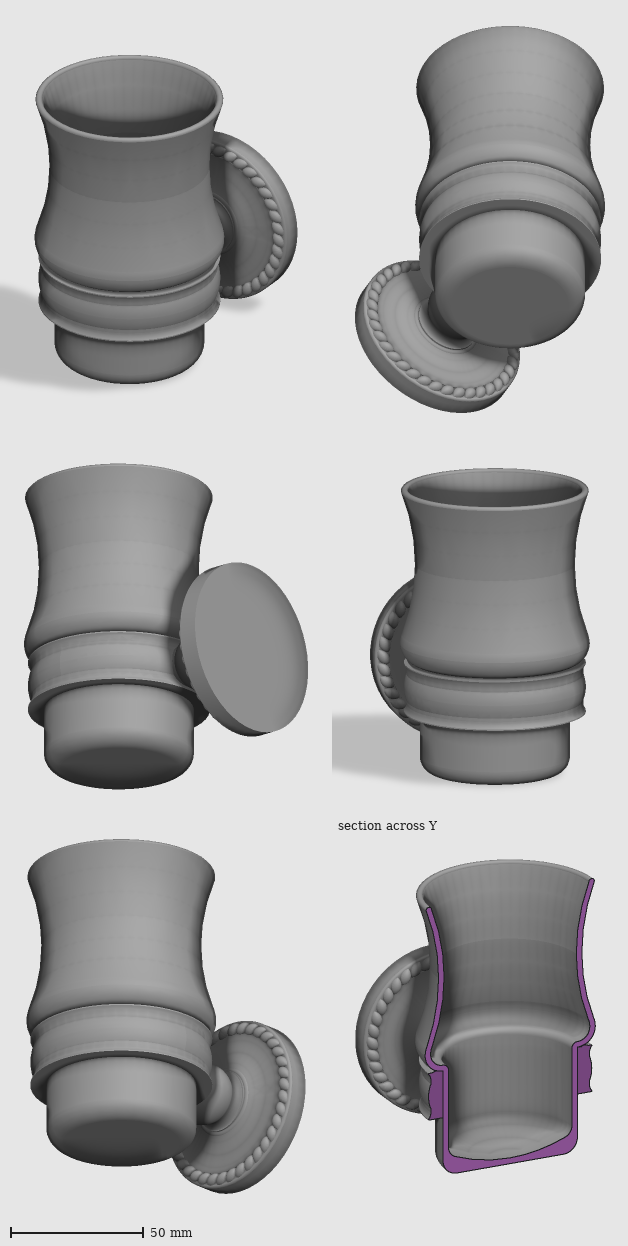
import cadquery as cq
import math


cup_height = 110.0
wall = 2.5
foot_radius = 28.4
foot_fillet = 6.0
bulge_radius = 71.8 / 2
bulge_z = 49.9
bulge_lower_round = bulge_radius - foot_radius
bulge_upper_round = 9.7
bulge_top_radius = 35.2
bulge_top_z = 53.4
waist_radius = 30.2
waist_z = 80.5
rim_radius = 35.5
rim_round = wall / 2
rim_z = cup_height - rim_round
floor_edge_radius = 23.2
floor_edge_slope = 22.0

holder_z = 33.0
ring_radius = 34.4
ring_half_height = 9.6
lip_thickness = 0.4
neck_radius = 33.4
belly_half_height = 5.1
upper_neck_height = 6.2
lower_neck_drop = 6.5
lip_cove_radius = 4.4
seat_foot_radius = 33.0
seat_edge_radius = 31.5

ball_y = 43.3
ball_radius = 12.0
plug_radius = 8.1
plug_end_y = 30.2
stem_end_y = 54.3
collar_radius = 12.0
collar_y = 53.7
cove_start_radius = 11.4
groove_radius = 9.7
groove_y = 51.5
ball_start_y = 49.9
cove_radius = 2.6
groove_round = 2.8

total_depth = 101.9
wall_y = total_depth - bulge_radius
rosette_radius = 33.0
rosette_face_y = 57.9
rosette_round = 1.0
dish_outer_radius = 27.5
dish_curve_radius = 21.6
dish_deepest_radius = 24.2
dish_inner_radius = 13.4
dish_edge_round = 1.6

bead_count = 38
bead_circle_radius = 29.7
first_bead_angle = -1.0
bead_y = 58.0
bead_half_length = 3.4
bead_half_width = 2.1
bead_tilt = 55.0


def vertical_start_radius(start, end):
    """Radius of the arc from start to end that leaves start along the second axis."""
    across = end[0] - start[0]
    along = end[1] - start[1]
    return (across**2 + along**2) / (2 * abs(across))


def on_circle(centre, radius, angle):
    """Point on a circle, with the angle in degrees from the first axis."""
    turn = math.radians(angle)
    return (centre[0] + radius * math.cos(turn), centre[1] + radius * math.sin(turn))


def trace_cup_outside():
    """The tumbler's outer outline, from the middle of its foot up to the rim."""
    waist = (waist_radius, waist_z)
    rim = (rim_radius, rim_z)
    bulge_top = (bulge_top_radius, bulge_top_z)
    return (
        cq.Workplane("XZ")
        .lineTo(foot_radius - foot_fillet, 0)
        .radiusArc((foot_radius, foot_fillet), -foot_fillet)
        .lineTo(foot_radius, bulge_z - bulge_lower_round)
        .radiusArc((bulge_radius, bulge_z), -bulge_lower_round)
        .radiusArc(bulge_top, -bulge_upper_round)
        .radiusArc(waist, vertical_start_radius(waist, bulge_top))
        .radiusArc(rim, vertical_start_radius(waist, rim))
    )


def make_cup_envelope():
    """The tumbler's outer shape, filled in up to the rim."""
    outline = trace_cup_outside().lineTo(0, rim_z).close()
    return outline.revolve(360, (0, 0, 0), (0, 1, 0))


def make_cup():
    """The tumbler: its inside follows the outside, set in by the wall, down to a dished floor."""
    inner_foot_radius = foot_radius - wall
    floor_slope = math.radians(floor_edge_slope)
    inner_fillet = (inner_foot_radius - floor_edge_radius) / (1 - math.sin(floor_slope))
    floor_edge_z = wall + floor_edge_radius * math.tan(floor_slope / 2)
    fillet_top_z = floor_edge_z + inner_fillet * math.cos(floor_slope)
    dish_radius = floor_edge_radius / math.sin(floor_slope)
    shoulder_z = bulge_z - bulge_lower_round
    waist = (waist_radius - wall, waist_z)
    rim = (rim_radius - wall, rim_z)
    bulge_top = (bulge_top_radius - wall, bulge_top_z)
    return (
        trace_cup_outside()
        .threePointArc((rim_radius - rim_round, cup_height), rim)
        .radiusArc(waist, -vertical_start_radius(waist, rim))
        .radiusArc(bulge_top, -vertical_start_radius(waist, bulge_top))
        .radiusArc((bulge_radius - wall, bulge_z), bulge_upper_round - wall)
        .radiusArc((foot_radius, shoulder_z + wall), bulge_lower_round - wall)
        .radiusArc((inner_foot_radius, shoulder_z), -wall)
        .lineTo(inner_foot_radius, fillet_top_z)
        .radiusArc((floor_edge_radius, floor_edge_z), inner_fillet)
        .radiusArc((0, wall), dish_radius)
        .close()
        .revolve(360, (0, 0, 0), (0, 1, 0))
    )


def make_ring():
    """The moulded ring as a full disc; the tumbler's shape is cut from it later."""
    top = holder_z + ring_half_height
    bottom = holder_z - ring_half_height
    belly_radius = vertical_start_radius((ring_radius, 0), (neck_radius, belly_half_height))
    seat_drop = math.sqrt(bulge_lower_round**2 - (seat_edge_radius - foot_radius) ** 2)
    seat_z = bulge_z - seat_drop
    return (
        cq.Workplane("XZ")
        .moveTo(0, bottom)
        .lineTo(ring_radius, bottom)
        .lineTo(ring_radius, bottom + lip_thickness)
        .radiusArc((neck_radius, holder_z - lower_neck_drop), lip_cove_radius)
        .lineTo(neck_radius, holder_z - belly_half_height)
        .radiusArc((ring_radius, holder_z), -belly_radius)
        .radiusArc((neck_radius, holder_z + belly_half_height), -belly_radius)
        .lineTo(neck_radius, holder_z + upper_neck_height)
        .radiusArc((ring_radius, top - lip_thickness), lip_cove_radius)
        .lineTo(ring_radius, top)
        .lineTo(seat_foot_radius, top)
        .lineTo(seat_edge_radius, seat_z)
        .lineTo(0, seat_z)
        .close()
        .revolve(360, (0, 0, 0), (0, 1, 0))
    )


def make_ball_stem():
    """The ball with its plug into the ring and its grooved collar, turned about the stem axis."""
    ball_end_y = ball_y - math.sqrt(ball_radius**2 - plug_radius**2)
    ball_start_radius = math.sqrt(ball_radius**2 - (ball_start_y - ball_y) ** 2)
    return (
        cq.Workplane("XY")
        .moveTo(0, plug_end_y)
        .lineTo(plug_radius, plug_end_y)
        .lineTo(plug_radius, ball_end_y)
        .threePointArc((ball_radius, ball_y), (ball_start_radius, ball_start_y))
        .radiusArc((groove_radius, groove_y), groove_round)
        .radiusArc((cove_start_radius, collar_y), cove_radius)
        .lineTo(collar_radius, collar_y)
        .lineTo(collar_radius, stem_end_y)
        .lineTo(0, stem_end_y)
        .close()
        .revolve(360, (0, 0, 0), (0, 1, 0))
        .translate((0, 0, holder_z))
    )


def make_rosette_base():
    """The wall disc with its dished face, turned about the stem axis."""
    dish_centre_y = rosette_face_y - dish_curve_radius

    def dish_y(radius):
        return dish_centre_y + math.sqrt(dish_curve_radius**2 - (radius - dish_deepest_radius) ** 2)

    return (
        cq.Workplane("XY")
        .moveTo(0, wall_y)
        .lineTo(rosette_radius, wall_y)
        .lineTo(rosette_radius, rosette_face_y + rosette_round)
        .radiusArc((rosette_radius - rosette_round, rosette_face_y), rosette_round)
        .lineTo(dish_outer_radius, rosette_face_y)
        .lineTo(dish_outer_radius, dish_y(dish_outer_radius))
        .threePointArc(
            (dish_deepest_radius, rosette_face_y),
            (dish_inner_radius, dish_y(dish_inner_radius)),
        )
        .radiusArc((collar_radius, stem_end_y), dish_edge_round)
        .lineTo(0, stem_end_y)
        .close()
        .revolve(360, (0, 0, 0), (0, 1, 0))
        .translate((0, 0, holder_z))
    )


def make_bead(angle):
    """One pointed oval bead at an angle around the rosette, its long axis tilted off the radius."""
    x, z = on_circle((0, holder_z), bead_circle_radius, angle)
    long_axis_turn = bead_tilt - angle
    return (
        cq.Workplane("XY")
        .moveTo(-bead_half_length, 0)
        .threePointArc((0, bead_half_width), (bead_half_length, 0))
        .close()
        .revolve(360, (0, 0, 0), (1, 0, 0))
        .rotate((0, 0, 0), (0, 1, 0), long_axis_turn)
        .translate((x, bead_y, z))
    )


def make_rosette():
    """The wall disc with its rope of beads."""
    pitch = 360 / bead_count
    beads = [make_bead(first_bead_angle + index * pitch).val() for index in range(bead_count)]
    return cq.Workplane(make_rosette_base().val().fuse(*beads))


cup = make_cup()
holder = make_ring().union(make_ball_stem()).cut(make_cup_envelope())
rosette = make_rosette()

result = cq.Compound.makeCompound([body.solids().val() for body in (cup, holder, rosette)])